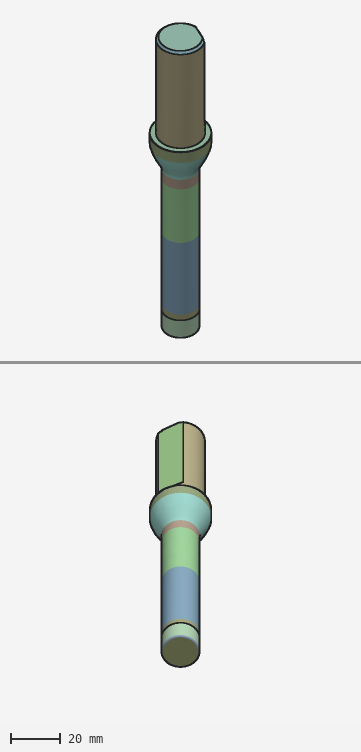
import cadquery as cq
import math

tool_length = 151.0
shoulder_height = 101.2
collar_thickness = 5.6
pilot_top = 82.9
pilot_length = 5.0
neck_top = 50.0
neck_bottom = 12.5
tip_height = 9.7

shank_diameter = 20.0
collar_diameter = 25.0
body_diameter = 15.5
neck_diameter = 15.4

throat_point = (8.3, 85.3)
bulge_point = (10.4, 89.5)
collar_blend_angle = math.radians(14)

shank_chamfer = 1.0
collar_chamfer = 0.2
flat_offset = 8.2
flat_end_height = 104.6
runout_rise = 2.4
tip_corner_radius = 0.8
point_height = 0.2

shank_radius = shank_diameter / 2
collar_radius = collar_diameter / 2
body_radius = body_diameter / 2
neck_radius = neck_diameter / 2
collar_bottom = shoulder_height - collar_thickness


def make_flat_cutter():
    """Prism that cuts the +Y drive flat, with a sloped run-out at its lower end."""
    flat_depth = shank_radius - flat_offset
    outer = shank_radius + flat_depth
    outer_end = flat_end_height - runout_rise
    runout_top = flat_end_height + runout_rise
    return (
        cq.Workplane("YZ")
        .moveTo(flat_offset, tool_length)
        .lineTo(flat_offset, runout_top)
        .lineTo(outer, outer_end)
        .lineTo(outer, tool_length)
        .close()
        .extrude(shank_radius, both=True)
    )


def make_tool_body():
    """Shank, collar, pilot and neck turned as one solid, with the flat cut afterwards."""
    turned = (
        cq.Workplane("XZ")
        .moveTo(0, tip_height)
        .lineTo(body_radius, tip_height)
        .lineTo(neck_radius, neck_bottom)
        .lineTo(neck_radius, neck_top)
        .lineTo(body_radius, pilot_top - pilot_length)
        .lineTo(body_radius, pilot_top)
        .spline(
            [throat_point, bulge_point, (collar_radius, collar_bottom)],
            tangents=[(0, 1), (math.sin(collar_blend_angle), math.cos(collar_blend_angle))],
            includeCurrent=True,
        )
        .lineTo(collar_radius, shoulder_height - collar_chamfer)
        .lineTo(collar_radius - collar_chamfer, shoulder_height)
        .lineTo(shank_radius, shoulder_height)
        .lineTo(shank_radius, tool_length - shank_chamfer)
        .lineTo(shank_radius - shank_chamfer, tool_length)
        .lineTo(0, tool_length)
        .close()
        .revolve(360, (0, 0, 0), (0, 1, 0))
    )
    return turned.cut(make_flat_cutter())


def make_cutting_tip():
    """Cylindrical tip below the body, with a rounded corner and a shallow cone below it."""
    return (
        cq.Workplane("XZ")
        .lineTo(body_radius - tip_corner_radius, point_height)
        .radiusArc((body_radius, point_height + tip_corner_radius), -tip_corner_radius)
        .lineTo(body_radius, tip_height)
        .lineTo(0, tip_height)
        .close()
        .revolve(360, (0, 0, 0), (0, 1, 0))
    )


tool_body = make_tool_body()
cutting_tip = make_cutting_tip()

result = cq.Compound.makeCompound([tool_body.val(), cutting_tip.val()])